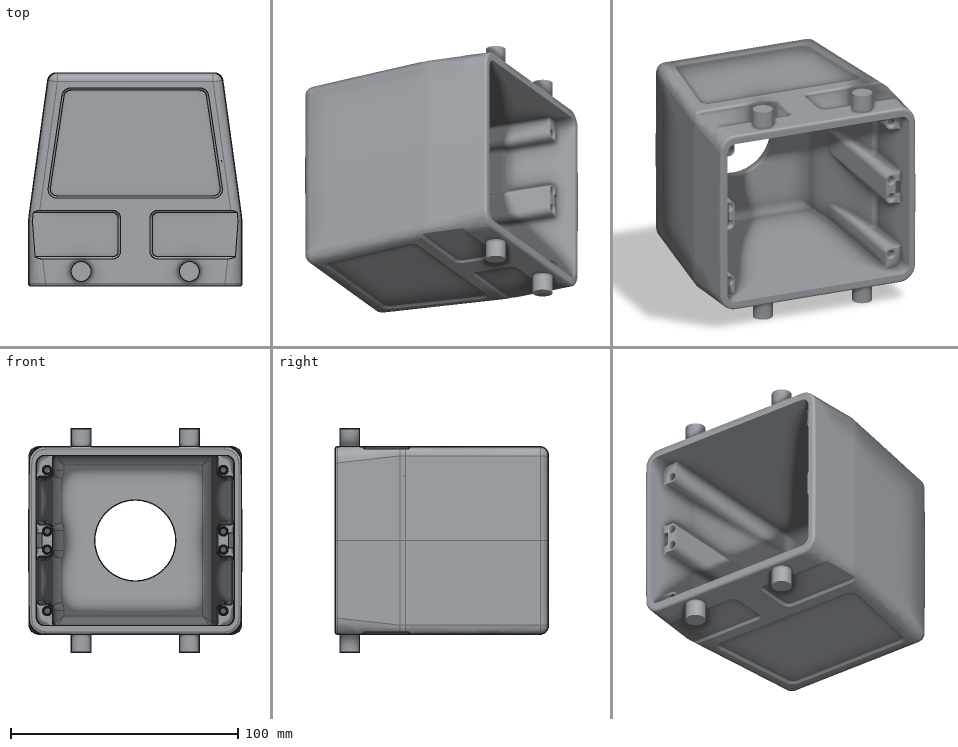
import cadquery as cq
import math

DEPTH = 94.0
HALF_X = 47.0
HALF_Z = 41.4
BACK_HALF_X = 38.1
SIDE_CROWN = 0.3
BEND_START = 28.6
BEND_END = 30.9
BEND_DROP = 0.2
RIM_CORNER_R = 7.4
CORNER_R = 4.1
BACK_EDGE_R = 3.9
RIM_EDGE_R = 1.2

CAVITY_HALF_X = 43.6
CAVITY_HALF_Z = 37.5
CAVITY_DEPTH = 89.6
CAVITY_CORNER_R = 3.9
FLOOR_R = 4.3
LEFT_BEND = (-42.8, 29.55)
LEFT_FLOOR_X = -36.15
RIGHT_STEP_START = (42.65, 32.1)
RIGHT_STEP_END = (40.8, 34.0)
RIGHT_STEP_R = 1.5
RIGHT_FLOOR_X = 33.4
ENTRY_DIAMETER = 35.6

POST_FACE_Y = 8.9
POST_EDGE_X = 36.3
POST_CORNER_R = 2.5
POST_DRAFT = 0.5
CORNER_POST_Z = 28.4
MIDDLE_POST_Z = 6.8
POST_ROOT_R = 1.8
POST_END_ROOT_R = 1.2
HOLE_X = 38.8
CORNER_HOLE_Z = 31.0
MIDDLE_HOLE_Z = 4.0
HOLE_MOUTH_DIAMETER = 4.1
HOLE_TOP_DIAMETER = 3.5
HOLE_FLOOR_DIAMETER = 2.8
HOLE_DEPTH = 11.8
NOTCH_EDGE_X = 41.0
NOTCH_HALF_Z = 3.3
NOTCH_DEPTH = 3.0
NOTCH_R = 0.8

PIN_DIAMETER = 8.8
PIN_X = 23.8
PIN_Y = 6.5
PIN_END_Z = 49.25
PIN_ROOT_DEPTH = 2.0

PANEL_DEPTH = 1.0
PANEL_WALL_ANGLE = 45.0
PANEL_R = 3.9
LABEL_FRONT_Y = 38.8
LABEL_BACK_Y = 87.3
LABEL_FRONT_HALF_X = 39.0
LABEL_BACK_HALF_X = 31.8
GRIP_INNER_X = 6.5
GRIP_FRONT_Y = 12.0
GRIP_BACK_Y = 33.4
GRIP_R = 3.4

OVERLAP = 4.9
PICK_MARGIN = 0.5
CHAMFER_ANGLE = 45.0


def plane_at(y):
    """Workplane across the hood at depth y; extrusion runs towards the rim."""
    return cq.Workplane("XZ", origin=(0, y, 0))


def shell_section(y, half_x, corner_r):
    """Rounded cross-section whose sides are slightly crowned at mid height."""
    flank = half_x - SIDE_CROWN
    outline = [
        (-flank, -HALF_Z), (flank, -HALF_Z), (half_x, 0),
        (flank, HALF_Z), (-flank, HALF_Z), (-half_x, 0), (-flank, -HALF_Z),
    ]
    sketch = cq.Sketch().polygon(outline).vertices("<Y or >Y").fillet(corner_r)
    return sketch.moved(cq.Location(cq.Vector(0, 0, -y)))


def hood_shell():
    """Solid hood body: straight mouth, short bend, then sides leaning in to the back."""
    sections = [
        shell_section(0, HALF_X, RIM_CORNER_R),
        shell_section(BEND_START, HALF_X, CORNER_R),
        shell_section(BEND_END, HALF_X - BEND_DROP, CORNER_R),
        shell_section(DEPTH, BACK_HALF_X, CORNER_R),
    ]
    shell = plane_at(0).placeSketch(*sections).loft(ruled=True)
    shell = shell.faces(">Y").edges().fillet(BACK_EDGE_R)
    return shell.faces("<Y").edges().fillet(RIM_EDGE_R)


def post(side, low_z, high_z):
    """Post growing slightly towards the floor, embedded in one side wall."""
    width = HALF_X - POST_EDGE_X
    return (
        plane_at(POST_FACE_Y)
        .center(side * (POST_EDGE_X + width / 2), (low_z + high_z) / 2)
        .sketch().rect(width, high_z - low_z).vertices().fillet(POST_CORNER_R).finalize()
        .extrude(-(CAVITY_DEPTH - POST_FACE_Y + OVERLAP), taper=-POST_DRAFT)
    )


def both_sides(solid):
    """The solid together with its mirror image below mid height."""
    return solid.union(solid.mirror("XY"))


def cavity():
    """Inner space of the hood with the posts left standing."""
    space = (
        cq.Workplane("XY", origin=(0, 0, -CAVITY_HALF_Z))
        .polyline([
            (-CAVITY_HALF_X, 0), LEFT_BEND, (LEFT_FLOOR_X, CAVITY_DEPTH),
            (RIGHT_FLOOR_X, CAVITY_DEPTH), RIGHT_STEP_END, RIGHT_STEP_START, (CAVITY_HALF_X, 0),
        ])
        .close()
        .extrude(2 * CAVITY_HALF_Z)
    )
    step_corners = cq.selectors.BoxSelector(
        (RIGHT_STEP_END[0] - PICK_MARGIN, RIGHT_STEP_START[1] - PICK_MARGIN, -PICK_MARGIN),
        (RIGHT_STEP_START[0] + PICK_MARGIN, RIGHT_STEP_END[1] + PICK_MARGIN, PICK_MARGIN),
    )
    space = space.edges("|Z").edges(step_corners).fillet(RIGHT_STEP_R)

    for side in (-1, 1):
        space = space.cut(post(side, -MIDDLE_POST_Z, MIDDLE_POST_Z))
        space = space.cut(post(side, CORNER_POST_Z, HALF_Z + OVERLAP))
        space = space.cut(post(side, -HALF_Z - OVERLAP, -CORNER_POST_Z))

    space = space.faces(">Y").edges().fillet(FLOOR_R)

    for side in (-1, 1):
        roots = cq.selectors.BoxSelector(
            (side * (HOLE_X + PICK_MARGIN), POST_FACE_Y + PICK_MARGIN, -CORNER_HOLE_Z),
            (side * HALF_X, CAVITY_DEPTH - FLOOR_R, CORNER_HOLE_Z),
        )
        space = space.edges("not |Z").edges(roots).fillet(POST_ROOT_R)

    for side in (-1, 1):
        for end in (-1, 1):
            end_root = cq.selectors.NearestToPointSelector(
                (side * POST_EDGE_X, CAVITY_DEPTH / 2, end * CAVITY_HALF_Z))
            space = space.edges(end_root).fillet(POST_END_ROOT_R)

    for side in (-1, 1):
        for end in (-1, 1):
            corner = cq.selectors.NearestToPointSelector(
                (side * CAVITY_HALF_X, POST_FACE_Y / 2, end * CAVITY_HALF_Z))
            space = space.edges(corner).fillet(CAVITY_CORNER_R)
    return space


def screw_hole(x, z):
    """Blind hole narrowing towards its floor, with a chamfered mouth in a post face."""
    draft = math.degrees(math.atan2((HOLE_TOP_DIAMETER - HOLE_FLOOR_DIAMETER) / 2, HOLE_DEPTH))
    start = plane_at(POST_FACE_Y).center(x, z)
    bore = start.circle(HOLE_TOP_DIAMETER / 2).extrude(-HOLE_DEPTH, taper=draft)
    chamfer = (HOLE_MOUTH_DIAMETER - HOLE_TOP_DIAMETER) / 2
    mouth = start.circle(HOLE_MOUTH_DIAMETER / 2).extrude(-chamfer, taper=CHAMFER_ANGLE)
    return bore.union(mouth)


def post_notch(side):
    """Notch in the wall side of a middle post face, between its two holes."""
    width = CAVITY_HALF_X - NOTCH_EDGE_X
    return (
        plane_at(POST_FACE_Y)
        .center(side * (NOTCH_EDGE_X + width / 2), 0)
        .sketch().rect(width, 2 * NOTCH_HALF_Z).vertices().fillet(NOTCH_R).finalize()
        .extrude(-NOTCH_DEPTH)
    )


def sunken_panel(outline, corner_r):
    """Shallow pocket in the top face with sloping walls."""
    return (
        cq.Workplane("XY", origin=(0, 0, HALF_Z))
        .placeSketch(cq.Sketch().polygon(outline + outline[:1]).vertices().fillet(corner_r))
        .extrude(-PANEL_DEPTH, taper=PANEL_WALL_ANGLE)
    )


def label_panel():
    """Large panel that narrows towards the back."""
    return sunken_panel([
        (-LABEL_FRONT_HALF_X, LABEL_FRONT_Y), (LABEL_FRONT_HALF_X, LABEL_FRONT_Y),
        (LABEL_BACK_HALF_X, LABEL_BACK_Y), (-LABEL_BACK_HALF_X, LABEL_BACK_Y),
    ], PANEL_R)


def grip_panel(side):
    """Panel that runs out through the side of the hood."""
    inner_x = side * GRIP_INNER_X
    outer_x = side * (HALF_X + 2 * OVERLAP)
    return sunken_panel([
        (inner_x, GRIP_FRONT_Y), (outer_x, GRIP_FRONT_Y),
        (outer_x, GRIP_BACK_Y), (inner_x, GRIP_BACK_Y),
    ], GRIP_R)


def locking_pin(side):
    """Round pin standing on the top face near the rim."""
    root_z = HALF_Z - PIN_ROOT_DEPTH
    return (
        cq.Workplane("XY", origin=(side * PIN_X, PIN_Y, root_z))
        .circle(PIN_DIAMETER / 2)
        .extrude(PIN_END_Z - root_z)
    )


cable_entry = plane_at(DEPTH + OVERLAP).circle(ENTRY_DIAMETER / 2).extrude(DEPTH / 2)

result = hood_shell().cut(cavity()).cut(cable_entry)
result = result.cut(both_sides(label_panel()))
for side in (-1, 1):
    result = result.cut(both_sides(grip_panel(side)))
    result = result.union(both_sides(locking_pin(side)))
    result = result.cut(post_notch(side))
    for hole_z in (CORNER_HOLE_Z, MIDDLE_HOLE_Z):
        result = result.cut(both_sides(screw_hole(side * HOLE_X, hole_z)))